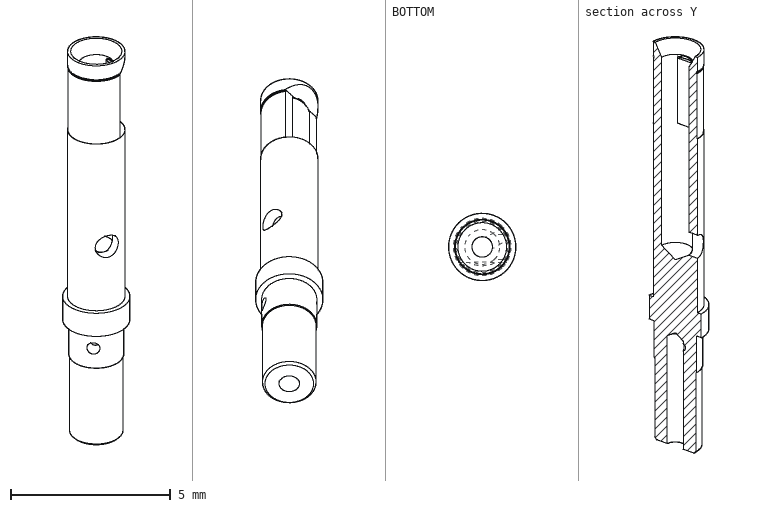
import math

import cadquery as cq

LENGTH = 13.84

BODY_DIA = 1.80
COLLAR_DIA = 2.11
NECK_DIA = 1.73
TAIL_DIA = 1.68
SLEEVE_DIA = 1.78
GROOVE_DIA = 1.73

TAIL_TOP = 2.85
COLLAR_BOTTOM = 4.11
COLLAR_TOP = 4.95
SLEEVE_BOTTOM = 11.0
LIP_BOTTOM = 13.32
SLEEVE_TOP = 13.27
TAIL_CHAMFER = 0.08
NECK_CHAMFER = (NECK_DIA - TAIL_DIA) / 2

BORE_DIA = 1.09
MOUTH_DIA = 1.60
MOUTH_ANGLE = 60.0
DRILL_POINT_ANGLE = 118.0

WIRE_BORE_DIA = 0.64

VENT_DIA = 0.79
VENT_HEIGHT = 7.24
VENT_DIRECTION = 0.0
INSPECTION_DIA = 0.41
INSPECTION_HEIGHT = 3.56
INSPECTION_DIRECTION = -30.0

WINDOW_Y = 0.49
LEAF_INNER_Y = 0.465
LEAF_OUTER_Y = 0.59


def revolved(outline):
    """Solid of revolution about Z from (radius, height) points."""
    return cq.Workplane("XZ").polyline(outline).close().revolve(360, (0, 0), (0, 1))


def turned_body():
    """Stepped pin, tail to lip, as one revolved outline."""
    body = BODY_DIA / 2
    collar = COLLAR_DIA / 2
    neck = NECK_DIA / 2
    tail = TAIL_DIA / 2
    sleeve = SLEEVE_DIA / 2
    groove = GROOVE_DIA / 2
    outline = [
        (0, 0),
        (tail - TAIL_CHAMFER, 0),
        (tail, TAIL_CHAMFER),
        (tail, TAIL_TOP - NECK_CHAMFER),
        (neck, TAIL_TOP),
        (neck, COLLAR_BOTTOM),
        (collar, COLLAR_BOTTOM),
        (collar, COLLAR_TOP),
        (body, COLLAR_TOP),
        (body, SLEEVE_BOTTOM),
        (sleeve, SLEEVE_BOTTOM),
        (sleeve, SLEEVE_TOP),
        (groove, SLEEVE_TOP),
        (groove, LIP_BOTTOM),
        (body, LIP_BOTTOM),
        (body, LENGTH),
        (0, LENGTH),
    ]
    return revolved(outline)


def drill_point_height(diameter):
    """Height of the conical end of a drilled bore."""
    return diameter / 2 / math.tan(math.radians(DRILL_POINT_ANGLE / 2))


def socket_bore():
    """Tapered mouth, straight bore down past the vent hole, conical drill point."""
    bore = BORE_DIA / 2
    mouth = MOUTH_DIA / 2
    mouth_depth = (mouth - bore) / math.tan(math.radians(MOUTH_ANGLE / 2))
    bore_bottom = VENT_HEIGHT - VENT_DIA / 2
    return revolved([
        (0, bore_bottom - drill_point_height(BORE_DIA)),
        (bore, bore_bottom),
        (bore, LENGTH - mouth_depth),
        (mouth, LENGTH),
        (0, LENGTH),
    ])


def wire_bore():
    """Straight bore from the tail end up past the inspection hole, conical drill point."""
    radius = WIRE_BORE_DIA / 2
    depth = INSPECTION_HEIGHT + INSPECTION_DIA / 2
    return revolved([
        (0, 0),
        (radius, 0),
        (radius, depth),
        (0, depth + drill_point_height(WIRE_BORE_DIA)),
    ])


def radial_hole(diameter, height, direction):
    """Hole from the axis out through one side, pointing along the given direction."""
    hole = cq.Workplane("YZ").center(0, height).circle(diameter / 2).extrude(COLLAR_DIA)
    return hole.rotate((0, 0, 0), (0, 0, 1), direction)


def sleeve_window():
    """Flat cut on the +Y side of the sleeve, ending in a 45 degree slope under the lip."""
    outside = COLLAR_DIA
    slope_rise = outside - WINDOW_Y
    profile = [
        (WINDOW_Y, SLEEVE_BOTTOM),
        (outside, SLEEVE_BOTTOM),
        (outside, LIP_BOTTOM + slope_rise),
        (WINDOW_Y, LIP_BOTTOM),
    ]
    return cq.Workplane("YZ").polyline(profile).close().extrude(BODY_DIA, both=True)


def spring_leaf():
    """Leaf with a flat inner face; its outer face is the sleeve curve moved inward."""
    radius = SLEEVE_DIA / 2
    leaf_height = SLEEVE_TOP - SLEEVE_BOTTOM
    center_y = LEAF_OUTER_Y - radius
    half_width = math.sqrt(radius**2 - (LEAF_INNER_Y - center_y) ** 2)
    return (
        cq.Workplane("XY", origin=(0, 0, SLEEVE_BOTTOM))
        .moveTo(-half_width, LEAF_INNER_Y)
        .threePointArc((0, LEAF_OUTER_Y), (half_width, LEAF_INNER_Y))
        .close()
        .extrude(leaf_height)
    )


result = (
    turned_body()
    .cut(socket_bore())
    .cut(wire_bore())
    .cut(radial_hole(VENT_DIA, VENT_HEIGHT, VENT_DIRECTION))
    .cut(radial_hole(INSPECTION_DIA, INSPECTION_HEIGHT, INSPECTION_DIRECTION))
    .cut(sleeve_window())
    .union(spring_leaf())
)